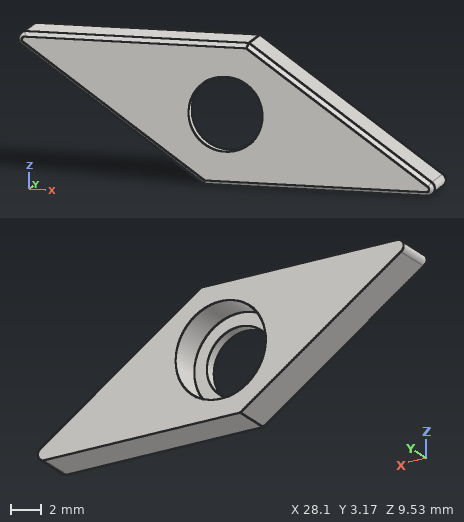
import cadquery as cq
import math

length = 28.05
thickness = 3.17
height = 9.53
tip_angle = 35.0
front_chamfer = 0.3
hole_diameter = 4.95
counterbore_diameter = 6.9
land_depth = 0.87

half_angle = math.radians(tip_angle / 2)
sharp_length = height / math.tan(half_angle)
side = height / math.sin(2 * half_angle)
tip_radius = (sharp_length - length) / 2 / (1 / math.tan(half_angle) - 1)


def rhombus_plate():
    """Plate with rounded acute tips and a chamfered front rim."""
    left = -sharp_length / 2
    top = height / 2
    corners = [
        (left, top),
        (left + side, top),
        (-left, -top),
        (-left - side, -top),
    ]
    plate = cq.Workplane("XZ").polyline(corners).close().extrude(thickness / 2, both=True)
    plate = plate.edges("|Y and (<X or >X)").fillet(tip_radius)
    return plate.faces("<Y").edges().chamfer(front_chamfer)


def stepped_hole():
    """Through hole with a wider counterbore open at the back face."""
    front = -thickness / 2
    back = thickness / 2
    ledge = front + land_depth
    hole = cq.Workplane("XZ", origin=(0, back, 0)).circle(hole_diameter / 2).extrude(thickness)
    counterbore = cq.Workplane("XZ", origin=(0, back, 0)).circle(counterbore_diameter / 2)
    return hole.union(counterbore.extrude(back - ledge))


result = rhombus_plate().cut(stepped_hole())